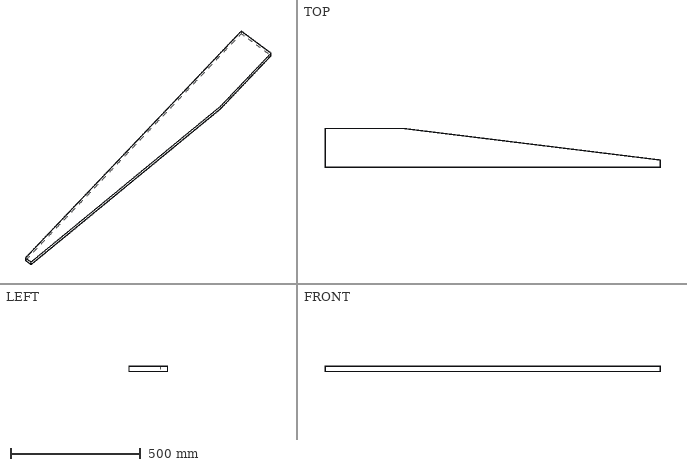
import cadquery as cq

length = 1292.0
root_width = 150.0
tip_width = 28.0
straight_length = 304.0
thickness = 22.0

outline = [
    (0, 0),
    (length, 0),
    (length, tip_width),
    (straight_length, root_width),
    (0, root_width),
]

result = cq.Workplane("XY").polyline(outline).close().extrude(thickness)